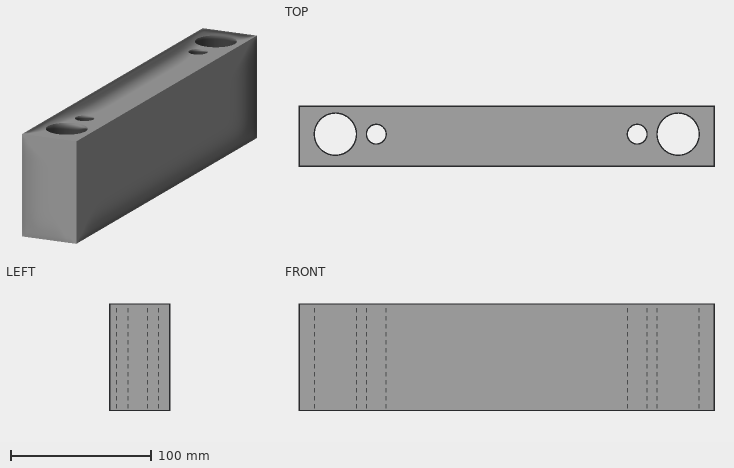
import cadquery as cq

length = 296.0
width = 43.0
height = 76.0

large_hole_diameter = 30.0
large_hole_spacing = 244.2
small_hole_diameter = 14.0
small_hole_spacing = 186.0
hole_row_offset = 1.5


def drill_pair(body, diameter, spacing):
    """Drill two vertical through holes, spaced symmetrically along X."""
    centers = [(-spacing / 2, hole_row_offset), (spacing / 2, hole_row_offset)]
    return body.faces(">Z").workplane(origin=(0, 0, 0)).pushPoints(centers).hole(diameter)


block = cq.Workplane("XY").box(length, width, height)
block = drill_pair(block, large_hole_diameter, large_hole_spacing)
result = drill_pair(block, small_hole_diameter, small_hole_spacing)